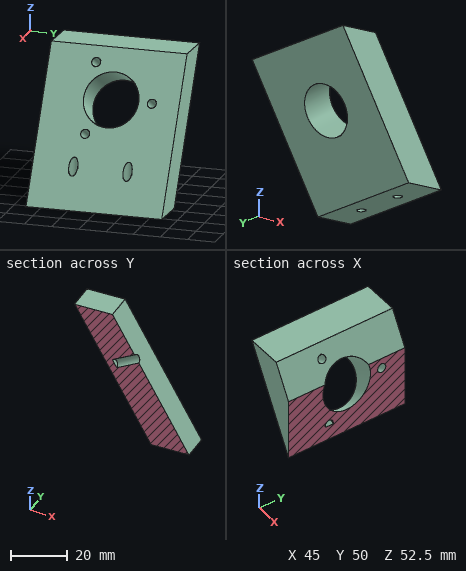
import cadquery as cq
import math

plate_depth = 50.0
plate_length = 60.0
lean_angle = 60.0
end_width = 15.0
end_rise = 0.49

bore_diameter = 20.15
bore_from_top = 19.0
screw_count = 3
screw_circle_radius = 15.0
screw_diameter = 3.25
screw_depth = 10.0

mount_diameter = 3.25
mount_spacing = 20.0

slope_run = plate_length * math.cos(math.radians(lean_angle))
slope_drop = plate_length * math.sin(math.radians(lean_angle))
half_x = (slope_run + end_width) / 2
half_z = (slope_drop + end_rise) / 2

top_left = (-half_x, half_z - end_rise)
top_right = (-half_x + end_width, half_z)
bottom_right = (half_x, -half_z + end_rise)
bottom_left = (half_x - end_width, -half_z)


def make_plate():
    outline = [top_left, top_right, bottom_right, bottom_left]
    profile = cq.Workplane("XZ").polyline(outline).close()
    return profile.extrude(plate_depth / 2, both=True)


def sloping_face_plane():
    """Plane on the upward sloping face at the bore centre; local X runs down the slope."""
    fraction = bore_from_top / plate_length
    center_x = top_right[0] + fraction * slope_run
    center_z = top_right[1] - fraction * slope_drop
    return cq.Plane(
        origin=(center_x, 0, center_z),
        xDir=(slope_run, 0, -slope_drop),
        normal=(slope_drop, 0, slope_run),
    )


def cut_bore_and_screw_holes(body):
    face = cq.Workplane(sloping_face_plane())
    bore = face.circle(bore_diameter / 2).extrude(-end_width)
    screws = (
        face.polarArray(screw_circle_radius, 90, 360, screw_count)
        .circle(screw_diameter / 2)
        .extrude(-screw_depth)
    )
    return body.cut(bore).cut(screws)


def cut_mounting_holes(body):
    """Holes from the middle of the lower end face out through the sloping face."""
    center_x = (bottom_left[0] + bottom_right[0]) / 2
    center_z = (bottom_left[1] + bottom_right[1]) / 2
    end_plane = cq.Plane(
        origin=(center_x, 0, center_z),
        xDir=(end_width, 0, end_rise),
        normal=(-end_rise, 0, end_width),
    )
    hole_start = -mount_diameter
    holes = (
        cq.Workplane(end_plane)
        .workplane(offset=hole_start)
        .pushPoints([(0, -mount_spacing / 2), (0, mount_spacing / 2)])
        .circle(mount_diameter / 2)
        .extrude(slope_drop)
    )
    return body.cut(holes)


result = cut_mounting_holes(cut_bore_and_screw_holes(make_plate()))